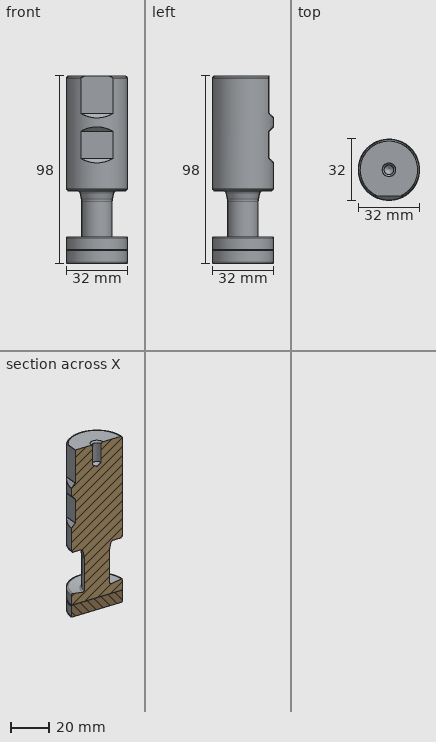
import cadquery as cq
import math


total_height = 98.0
disc_height = 7.0
shank_bottom = 38.0

body_radius = 16.0
neck_radius = 8.0

disc_edge_fillet = 0.7
rim_fillet = 0.8
neck_root_fillet = 0.8
joint_chamfer = 0.3
shank_chamfer = 1.0

rim_corner_height = 14.1
neck_root_height = 12.9

flare_start_height = 32.4
flare_lower_radius = 8.12
flare_lower_height = 33.6
flare_upper_radius = 8.8
flare_upper_height = 36.8
flare_end_radius = 10.3

flat_offset = 13.6
end_flat_end = 19.5
middle_flat_start = 29.0
middle_flat_end = 43.0

hole_diameter = 5.0
hole_depth = 12.0
countersink_diameter = 7.0
drill_point_angle = 118.0


def make_disc():
    """Round disc with a rounded bottom rim and a chamfered top rim."""
    blank = cq.Workplane("XY").circle(body_radius).extrude(disc_height)
    rounded = blank.edges("<Z").fillet(disc_edge_fillet)
    return rounded.edges(">Z").chamfer(joint_chamfer)


def make_turned_holder():
    """Flange, neck, flare and shank turned as one piece."""
    chamfer_radius = body_radius - shank_chamfer
    turned = (
        cq.Workplane("XZ")
        .moveTo(0, disc_height)
        .lineTo(body_radius - joint_chamfer, disc_height)
        .lineTo(body_radius, disc_height + joint_chamfer)
        .lineTo(body_radius, rim_corner_height)
        .lineTo(neck_radius, neck_root_height)
        .lineTo(neck_radius, flare_start_height)
        .tangentArcPoint((flare_lower_radius, flare_lower_height), relative=False)
        .tangentArcPoint((flare_upper_radius, flare_upper_height), relative=False)
        .tangentArcPoint((flare_end_radius, shank_bottom), relative=False)
        .lineTo(chamfer_radius, shank_bottom)
        .lineTo(body_radius, shank_bottom + shank_chamfer)
        .lineTo(body_radius, total_height - shank_chamfer)
        .lineTo(chamfer_radius, total_height)
        .lineTo(0, total_height)
        .close()
        .revolve(360, (0, 0, 0), (0, 1, 0))
    )
    turned = turned.edges(circle_at(rim_corner_height)).fillet(rim_fillet)
    turned = turned.edges(circle_at(neck_root_height)).fillet(neck_root_fillet)
    return turned


def circle_at(height):
    """Selector for the turned edges lying at one height."""
    reach = body_radius + 1.0
    margin = 0.01
    return cq.selectors.BoxSelector(
        (-reach, -reach, height - margin), (reach, reach, height + margin), boundingbox=True
    )


def flat_cutter(start, end):
    """Cutter for one flat from start to end below the shank top; both ends rise at 45 degrees."""
    run_out = 2 * (body_radius - flat_offset)
    floor_top = total_height - start
    floor_bottom = total_height - end
    return (
        cq.Workplane("YZ")
        .moveTo(-flat_offset, floor_top)
        .lineTo(-flat_offset, floor_bottom)
        .lineTo(-flat_offset - run_out, floor_bottom - run_out)
        .lineTo(-flat_offset - run_out, floor_top + run_out)
        .close()
        .extrude(body_radius, both=True)
    )


def centre_hole_cutter():
    """Countersunk blind hole with a conical drill point."""
    hole_radius = hole_diameter / 2
    countersink_radius = countersink_diameter / 2
    countersink_depth = countersink_radius - hole_radius
    point_height = hole_radius / math.tan(math.radians(drill_point_angle / 2))
    hole_bottom = total_height - hole_depth
    return (
        cq.Workplane("XZ")
        .moveTo(0, total_height)
        .lineTo(countersink_radius, total_height)
        .lineTo(hole_radius, total_height - countersink_depth)
        .lineTo(hole_radius, hole_bottom)
        .lineTo(0, hole_bottom - point_height)
        .close()
        .revolve(360, (0, 0, 0), (0, 1, 0))
    )


def make_holder():
    """Turned holder with its clamping flats and centre hole."""
    holder = make_turned_holder()
    for start, end in [(0, end_flat_end), (middle_flat_start, middle_flat_end)]:
        holder = holder.cut(flat_cutter(start, end))
    return holder.cut(centre_hole_cutter())


disc = make_disc()
holder = make_holder()
result = cq.Compound.makeCompound([holder.val(), disc.val()])